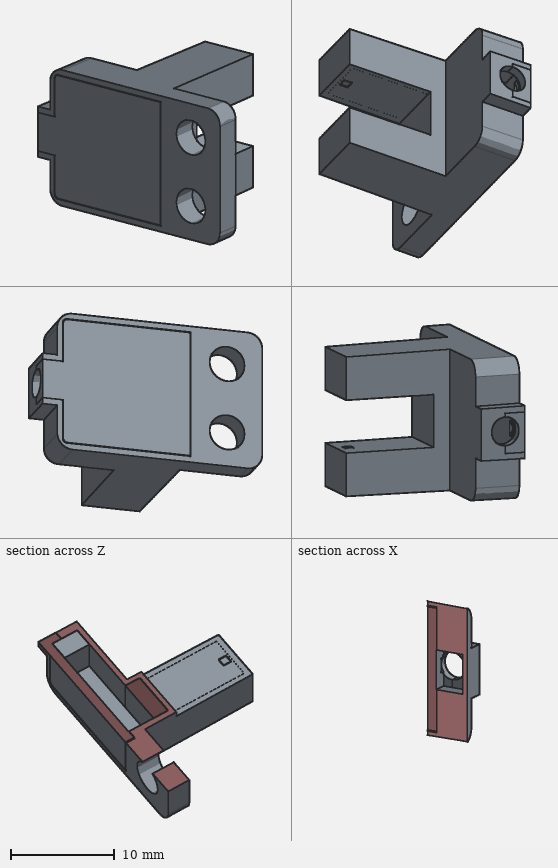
import cadquery as cq
import math


LENGTH = 22.15
DEPTH = 15.1
HEIGHT = 13.9
DRAFT = 0.5
CORNER_RADIUS = 1.5
BODY_LEFT = 1.48
BODY_DEPTH = 4.5
FLANGE_DEPTH = 2.5
PRONG_LEFT = 8.57
PRONG_RIGHT = 14.62
SLOT_WIDTH = 5.15
SLOT_BOTTOM = 6.15
TAB_WIDTH = SLOT_WIDTH

MOUNT_DIAMETER = 3.5
MOUNT_SPACING = 7.0
MOUNT_X = 18.6

WALL = 0.6
COVER_GAP = 0.07
COVER_THICKNESS = 1.02
SEAT_LEFT = BODY_LEFT + WALL - COVER_GAP
SEAT_RIGHT = 14.93
SEAT_HEIGHT = HEIGHT - 2 * WALL
SEAT_RADIUS = 0.47
CHANNEL_WIDTH = 3.95

CABLE_RADIUS = 1.4
CABLE_Y = 2.02
CABLE_Z = 0.2
END_WALL = 0.95
GROOVE_RADIUS = 1.25
GROOVE_LENGTH = 0.45

LEDGE = 1.02
CHAMBER_TOP = BODY_DEPTH - WALL
CHAMBER_LEFT = SEAT_LEFT + LEDGE
CHAMBER_RIGHT = SEAT_RIGHT - LEDGE
CHAMBER_HEIGHT = SEAT_HEIGHT - 2 * LEDGE

WINDOW_DEPTH = 0.1
WINDOW_SIZE = 0.86
WINDOW_END = 14.26
PRONG_MIDDLE = (PRONG_LEFT + PRONG_RIGHT) / 2

CORE_LEFT = PRONG_LEFT + WALL
CORE_RIGHT = CHAMBER_RIGHT
CORE_TOP = DEPTH - WALL
CORE_SLOT_WIDTH = SLOT_WIDTH + 2 * WINDOW_DEPTH
CORE_SLOT_BOTTOM = SLOT_BOTTOM - WALL


def block(x_range, y_range, height):
    """Box between two X and two Y values, centred on Z = 0."""
    x_size = x_range[1] - x_range[0]
    y_size = y_range[1] - y_range[0]
    box = cq.Workplane("XY").box(x_size, y_size, height, centered=(False, False, True))
    return box.translate((x_range[0], y_range[0], 0))


def facing_y(x):
    """Workplane at Y = 0 with its normal along +Y and its origin at the given X."""
    return cq.Workplane(cq.Plane(origin=(x, 0, 0), xDir=(1, 0, 0), normal=(0, 1, 0)))


def cable_bore(start, length, radius):
    """Cylinder along X on the cable axis."""
    return cq.Workplane("YZ", origin=(start, CABLE_Y, CABLE_Z)).circle(radius).extrude(length)


def plate(left, right, height, left_radius, thickness):
    """Plate from Y = 0 with its two left corners rounded."""
    return block((left, right), (0, thickness), height).edges("|Y and <X").fillet(left_radius)


def housing_shell():
    """Drafted T-shaped outside with the slot between the prongs and the cable tab."""
    slope = math.tan(math.radians(DRAFT))
    drafted = (
        facing_y((BODY_LEFT + LENGTH) / 2)
        .sketch()
        .rect(LENGTH - BODY_LEFT, HEIGHT)
        .vertices()
        .fillet(CORNER_RADIUS)
        .finalize()
        .extrude(DEPTH, taper=DRAFT)
    )
    left_lean = (DEPTH - BODY_DEPTH) * slope
    right_lean = (DEPTH - FLANGE_DEPTH) * slope
    t_profile = (
        cq.Workplane("XY", origin=(0, 0, -HEIGHT / 2))
        .moveTo(0, 0)
        .lineTo(LENGTH, 0)
        .lineTo(LENGTH, FLANGE_DEPTH)
        .lineTo(PRONG_RIGHT, FLANGE_DEPTH)
        .lineTo(PRONG_RIGHT - right_lean, DEPTH)
        .lineTo(PRONG_LEFT + left_lean, DEPTH)
        .lineTo(PRONG_LEFT, BODY_DEPTH)
        .lineTo(0, BODY_DEPTH)
        .close()
        .extrude(HEIGHT)
    )
    tab_base = TAB_WIDTH / 2
    tab_top = tab_base - BODY_DEPTH * slope
    tab_outline = [(0, -tab_base), (BODY_DEPTH, -tab_top), (BODY_DEPTH, tab_top), (0, tab_base)]
    tab = cq.Workplane("YZ").polyline(tab_outline).close().extrude(SEAT_LEFT)
    slot = block((PRONG_LEFT, PRONG_RIGHT), (SLOT_BOTTOM, DEPTH), SLOT_WIDTH)
    return drafted.intersect(t_profile).union(tab).cut(slot)


def mounting_holes():
    return (
        facing_y(MOUNT_X)
        .rarray(0.22, MOUNT_SPACING, 1, 2)
        .circle(MOUNT_DIAMETER / 2)
        .extrude(FLANGE_DEPTH)
    )


def windows():
    """One bar across the slot that opens a window in each prong."""
    half = WINDOW_SIZE / 2
    x_range = (PRONG_MIDDLE - half, PRONG_MIDDLE + half)
    return block(x_range, (WINDOW_END - WINDOW_SIZE, WINDOW_END), CORE_SLOT_WIDTH)


def make_core():
    """Bridge under the slot with a leg up each prong."""
    body = block((CORE_LEFT, CORE_RIGHT), (CHAMBER_TOP, CORE_TOP), CHAMBER_HEIGHT)
    gap = block((CORE_LEFT, CORE_RIGHT), (CORE_SLOT_BOTTOM, CORE_TOP), CORE_SLOT_WIDTH)
    return body.cut(gap)


def make_housing(core):
    seat = plate(SEAT_LEFT, SEAT_RIGHT, SEAT_HEIGHT, SEAT_RADIUS, COVER_THICKNESS)
    cover_tab_notch = block((0, END_WALL), (0, CABLE_Y), CHANNEL_WIDTH)
    plate_notch = block((0, CHAMBER_LEFT), (0, COVER_THICKNESS), CHANNEL_WIDTH)
    channel = block((END_WALL, CHAMBER_LEFT), (COVER_THICKNESS, CHAMBER_TOP), CHANNEL_WIDTH)
    chamber = block((CHAMBER_LEFT, CHAMBER_RIGHT), (COVER_THICKNESS, CHAMBER_TOP), CHAMBER_HEIGHT)
    housing = housing_shell().cut(mounting_holes())
    for hollow in (seat, cover_tab_notch, plate_notch, channel, chamber, windows(), core):
        housing = housing.cut(hollow)
    return housing.cut(cable_bore(0, END_WALL, CABLE_RADIUS))


def make_cover():
    """Plate with a tab whose raised end carries the lower half of the cable entry."""
    main = plate(
        SEAT_LEFT + COVER_GAP,
        SEAT_RIGHT - COVER_GAP,
        SEAT_HEIGHT - 2 * COVER_GAP,
        SEAT_RADIUS - COVER_GAP,
        COVER_THICKNESS,
    )
    tab = block((0, CHAMBER_LEFT), (0, COVER_THICKNESS), CHANNEL_WIDTH)
    raised_end = block((0, END_WALL), (0, CABLE_Y), CHANNEL_WIDTH)
    cover = main.union(tab).union(raised_end)
    cover = cover.cut(cable_bore(0, END_WALL, CABLE_RADIUS))
    return cover.cut(cable_bore(END_WALL, GROOVE_LENGTH, GROOVE_RADIUS))


core = make_core()
housing = make_housing(core)
cover = make_cover()

result = cq.Compound.makeCompound([housing.val(), cover.val(), core.val()])